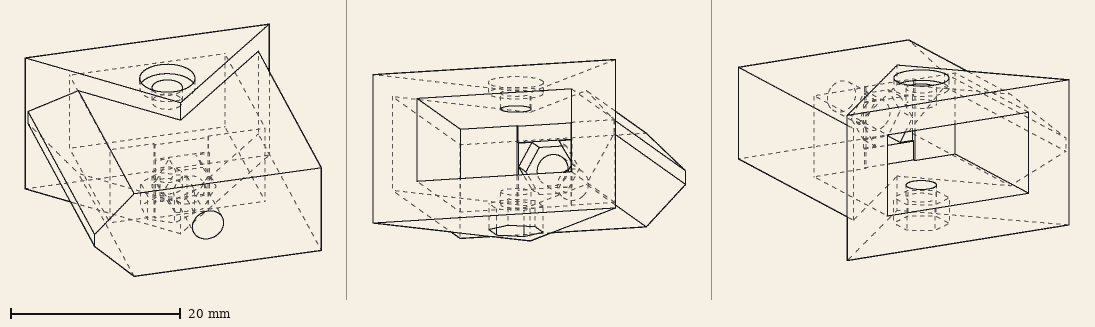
import cadquery as cq
import math

head_width = 29.85
head_depth = head_width / 2
head_height = 17.9

bar_end = 30.0
bar_width = 27.72
bar_height = 11.3
bar_center_y = -0.78
bar_center_z = 9.87
bar_chamfer = 4.83

socket_depth = 18.0
socket_width = 19.0
socket_height = 10.0
socket_bottom = 4.7
socket_center_z = socket_bottom + socket_height / 2

long_bolt_diameter = 3.8
hexagon_sides = 6
long_nut_flats = 5.7
long_nut_corners = long_nut_flats / math.cos(math.pi / hexagon_sides)
long_nut_seat_depth = 3.0
step_depth = 0.3

cross_bolt_x = 9.0
cross_bolt_diameter = 3.6
cross_head_diameter = 6.5
cross_head_depth = 1.3
cross_nut_corners = long_nut_corners
cross_nut_depth = 3.15


def block_from(x_start, length, width, height, center_y, center_z):
    """Box that starts at x_start and runs in +X."""
    block = cq.Workplane("XY").box(length, width, height, centered=(False, True, True))
    return block.translate((x_start, center_y, center_z))


def make_head():
    corners = [(0, -head_width / 2), (head_depth, 0), (0, head_width / 2)]
    return cq.Workplane("XY").polyline(corners).close().extrude(head_height)


def make_bar():
    """Bar with both of its long -Y edges chamfered."""
    bar = block_from(0, bar_end, bar_width, bar_height, bar_center_y, bar_center_z)
    return bar.faces("<Y").edges("|X").chamfer(bar_chamfer)


def make_socket():
    return block_from(0, socket_depth, socket_width, socket_height, 0, socket_center_z)


def make_long_bolt_space():
    """Full-height band, square-cut step, hexagonal nut seat and through hole, each behind the last."""
    step_start = socket_depth + step_depth
    seat_start = step_start + step_depth
    band = block_from(
        socket_depth, step_depth, long_nut_corners, socket_height, bar_center_y, socket_center_z
    )
    step = block_from(
        step_start, step_depth, long_nut_corners, long_nut_flats, bar_center_y, bar_center_z
    )
    axis_plane = cq.Workplane("YZ", origin=(seat_start, bar_center_y, bar_center_z))
    seat = axis_plane.polygon(hexagon_sides, long_nut_corners).extrude(long_nut_seat_depth)
    hole = axis_plane.circle(long_bolt_diameter / 2).extrude(bar_end - seat_start)
    return band.union(step).union(seat).union(hole)


def make_cross_bolt_space():
    """Vertical through hole with its two seats; the hexagon has corners along X."""
    axis_plane = cq.Workplane("XY", origin=(cross_bolt_x, 0, 0))
    hole = axis_plane.circle(cross_bolt_diameter / 2).extrude(head_height)
    nut_seat = axis_plane.polygon(hexagon_sides, cross_nut_corners).extrude(cross_nut_depth)
    head_plane = axis_plane.workplane(offset=head_height - cross_head_depth)
    head_seat = head_plane.circle(cross_head_diameter / 2).extrude(cross_head_depth)
    return hole.union(nut_seat).union(head_seat)


body = make_head().union(make_bar())
body = body.cut(make_socket())
body = body.cut(make_long_bolt_space())
result = body.cut(make_cross_bolt_space())